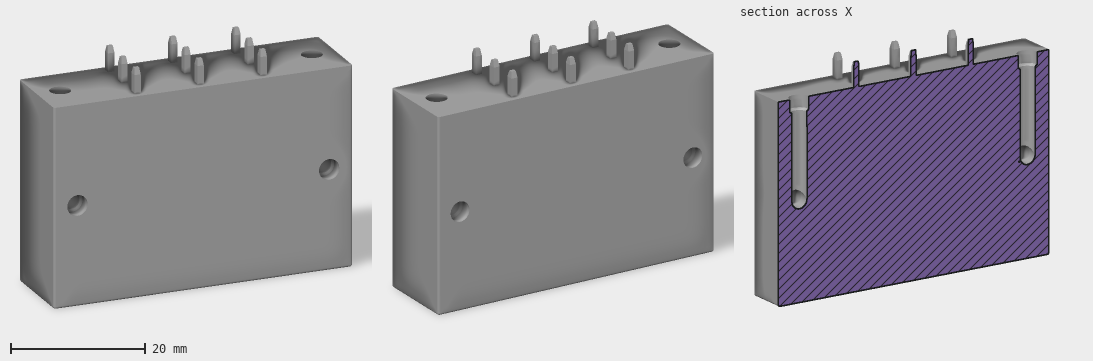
import cadquery as cq

width = 13.4
length = 48.25
overall_height = 36.0
pin_height = 4.0
body_height = overall_height - pin_height
edge_radius = 0.4

pin_pitch_y = 10.2
pin_pitch_x = pin_pitch_y / 2
pins_per_side = 3
pin_width = 1.2
pin_depth = 1.0
tip_height = 1.0
tip_width = 0.6
tip_depth = 0.75

hole_pitch = 40.6
bore_diameter = 2.6
mouth_diameter = 3.3
mouth_depth = 2.0
cone_depth = (mouth_diameter - bore_diameter) / 2
hole_height = body_height / 2


def make_housing():
    """Block with rounded vertical and bottom edges and a sharp top rim."""
    block = cq.Workplane("XY").box(width, length, body_height, centered=(True, True, False))
    rounded = block.edges("|Z").fillet(edge_radius)
    return rounded.faces("<Z").edges().fillet(edge_radius)


def make_hole(mouth, direction, depth):
    """Straight mouth, short cone and bore, running inward from the mouth centre."""
    mouth_radius = mouth_diameter / 2
    bore_radius = bore_diameter / 2
    start = cq.Vector(*mouth)
    inward = cq.Vector(*direction)
    cone_start = start + inward * mouth_depth
    wide_mouth = cq.Solid.makeCylinder(mouth_radius, mouth_depth, start, inward)
    cone = cq.Solid.makeCone(mouth_radius, bore_radius, cone_depth, cone_start, inward)
    bore = cq.Solid.makeCylinder(bore_radius, depth, start, inward)
    return cq.Workplane(wide_mouth).union(cq.Workplane(cone)).union(cq.Workplane(bore))


def cut_mounting_holes(body):
    """At each end, a hole through the width meets one coming down from the top."""
    for hole_y in (-hole_pitch / 2, hole_pitch / 2):
        body = body.cut(make_hole((-width / 2, hole_y, hole_height), (1, 0, 0), width / 2))
        body = body.cut(make_hole((width / 2, hole_y, hole_height), (-1, 0, 0), width / 2))
        body = body.cut(make_hole((0, hole_y, body_height), (0, 0, -1), body_height - hole_height))
    return body


def make_pin():
    """Rectangular pin standing on the top face, with a tapered blunt tip."""
    shank_height = pin_height - tip_height
    shank = (
        cq.Workplane("XY")
        .workplane(offset=body_height)
        .rect(pin_width, pin_depth)
        .extrude(shank_height)
    )
    tip = (
        cq.Workplane("XY")
        .workplane(offset=body_height + shank_height)
        .rect(pin_width, pin_depth)
        .workplane(offset=tip_height)
        .rect(tip_width, tip_depth)
        .loft(ruled=True)
    )
    return shank.union(tip)


result = cut_mounting_holes(make_housing())

pin = make_pin()
middle_pin = (pins_per_side - 1) / 2
for column in range(pins_per_side):
    for row in range(pins_per_side):
        pin_x = (column - middle_pin) * pin_pitch_x
        pin_y = (row - middle_pin) * pin_pitch_y
        result = result.union(pin.translate((pin_x, pin_y, 0)))